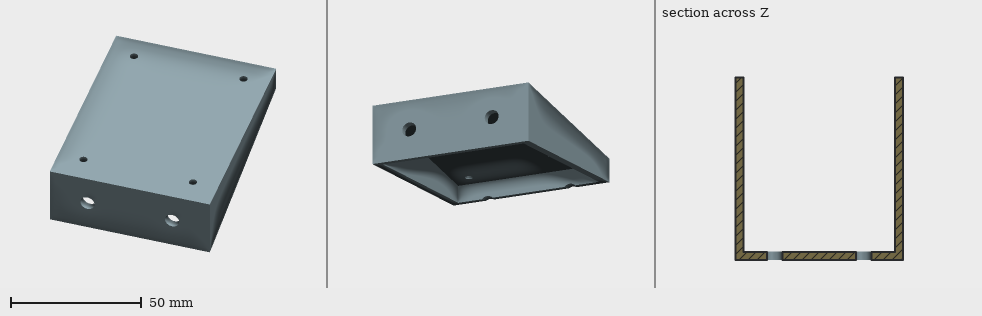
import cadquery as cq

width = 64.3
length = 83.95
front_height = 24.1
back_height = 9.65

wall = 3.2

long_hole_diameter = 5.7
long_hole_spacing = 34.0
long_hole_height = front_height / 2

corner_hole_diameter = 3.2
corner_spacing_x = 44.0
corner_spacing_y = 63.8
corner_pattern_offset_y = 0.6


def wedge():
    """Tapered block centred in X and Y, with its lowest edge at Z = 0."""
    profile = [
        (-length / 2, 0),
        (length / 2, front_height - back_height),
        (length / 2, front_height),
        (-length / 2, front_height),
    ]
    return cq.Workplane("YZ").polyline(profile).close().extrude(width / 2, both=True)


def underside_cavity():
    """Rectangular pocket open through the sloped underside."""
    return cq.Workplane("XY").box(
        width - 2 * wall,
        length - 2 * wall,
        front_height - wall,
        centered=(True, True, False),
    )


def long_holes():
    """Pair of cylinders along Y, spanning the full length."""
    return (
        cq.Workplane("XZ", origin=(0, 0, long_hole_height))
        .rarray(long_hole_spacing, 0.8, 2, 1)
        .circle(long_hole_diameter / 2)
        .extrude(length / 2, both=True)
    )


def corner_holes():
    """Four cylinders along Z, spanning the full height."""
    return (
        cq.Workplane("XY", origin=(0, corner_pattern_offset_y, 0))
        .rarray(corner_spacing_x, corner_spacing_y, 2, 2)
        .circle(corner_hole_diameter / 2)
        .extrude(front_height)
    )


result = wedge().cut(underside_cavity()).cut(long_holes()).cut(corner_holes())